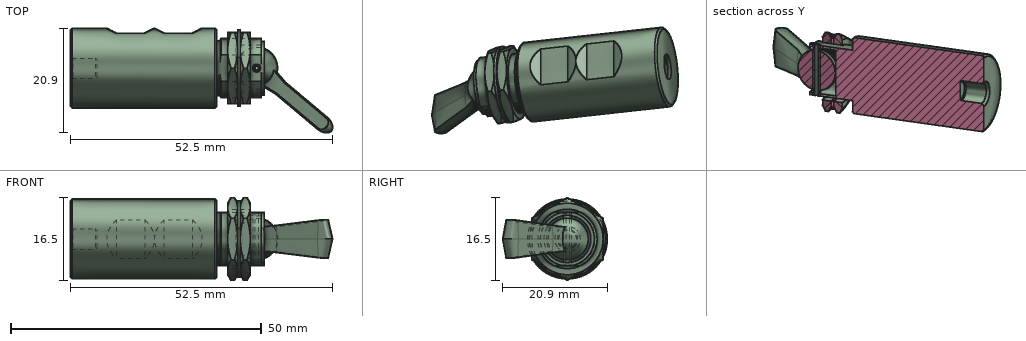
import cadquery as cq
import math


barrel_dia = 16.0
barrel_length = 29.3
barrel_chamfer = 0.4
groove_centers = (12.0, 21.55)
groove_top_width = 9.55
groove_floor_width = 5.65
groove_depth = 1.0

port_dia = 4.05
port_mouth_dia = 5.1
port_depth = 5.25
port_floor_dia = 3.55

thread_dia = 11.9
thread_start = 30.15
thread_chamfer = 0.2
relief_dia = 10.95
rim_dia = 10.8
rim_start = 38.2
neck_end = 38.8
flats_width = 10.65
socket_dia = 9.45

nut_start = 31.45
nut_corner_dia = 16.5
nut_flats_width = nut_corner_dia * math.cos(math.radians(30))
nut_thickness = 2.0
nut_chamfer_angle = 30.0
washer_dia = 15.35
washer_thickness = 0.5
washer_start = nut_start + nut_thickness
nut_starts = (nut_start, washer_start + washer_thickness)

total_length = 52.45
lever_angle = 40.0
ball_dia = 8.4
handle_root = 2.1
handle_waist = 6.3
tip_start = 17.1
root_half_width = 2.2
waist_half_width = 1.5
edge_inset = 0.2
tip_length = 2.4
edge_tip_length = 1.15
waist_half_height = 2.75
half_height_slope = 0.095

lever_cos = math.cos(math.radians(lever_angle))
lever_sin = math.sin(math.radians(lever_angle))
tip_reach = math.hypot(tip_length * lever_cos, waist_half_width * lever_sin)
pivot_x = total_length - tip_start * lever_cos - tip_reach

pin_dia = 1.55
pin_bore_dia = 0.7
pin_chamfer = 0.15


def cylinder_x(start, length, dia):
    """Cylinder on the common axis, from start towards +X."""
    return cq.Workplane("YZ", origin=(start, 0, 0)).circle(dia / 2).extrude(length)


def cylinder_pivot(length, dia):
    """Cylinder on the pivot axis, centered at mid-height."""
    return cq.Workplane("XY", origin=(pivot_x, 0, 0)).circle(dia / 2).extrude(length / 2, both=True)


def revolve_x(points):
    """Solid turned about the X axis from an (x, radius) outline."""
    return cq.Workplane("XY").polyline(points).close().revolve(360, (0, 0, 0), (1, 0, 0))


def make_barrel():
    barrel = cylinder_x(0, barrel_length, barrel_dia).edges().chamfer(barrel_chamfer)
    for center in groove_centers:
        barrel = barrel.cut(make_groove(center))
    return barrel.cut(make_port())


def make_groove(center):
    """Trapezoidal groove running along Z across the +Y side of the barrel."""
    surface = barrel_dia / 2
    floor = surface - groove_depth
    outline = [
        (center - groove_top_width / 2, surface),
        (center - groove_floor_width / 2, floor),
        (center + groove_floor_width / 2, floor),
        (center + groove_top_width / 2, surface),
    ]
    return cq.Workplane("XY").polyline(outline).close().extrude(barrel_dia / 2, both=True)


def make_port():
    """Blind port with a countersunk mouth and a beveled floor."""
    mouth_depth = (port_mouth_dia - port_dia) / 2
    floor_bevel = (port_dia - port_floor_dia) / 2
    return revolve_x([
        (0, 0),
        (0, port_mouth_dia / 2),
        (mouth_depth, port_dia / 2),
        (port_depth - floor_bevel, port_dia / 2),
        (port_depth, port_floor_dia / 2),
        (port_depth, 0),
    ])


def make_neck():
    """Relief groove, threaded length and end rim, with two flats facing +Z and -Z."""
    neck = revolve_x([
        (barrel_length, 0),
        (barrel_length, relief_dia / 2),
        (thread_start - thread_chamfer, relief_dia / 2),
        (thread_start, thread_dia / 2),
        (rim_start, thread_dia / 2),
        (rim_start, rim_dia / 2),
        (neck_end, rim_dia / 2),
        (neck_end, 0),
    ])
    flats = cq.Workplane("XY").box(2 * total_length, thread_dia, flats_width)
    return neck.intersect(flats)


def make_valve_body():
    socket_start = pivot_x - ball_dia / 2
    socket = cylinder_x(socket_start, neck_end - socket_start, socket_dia)
    pin_hole = cylinder_pivot(flats_width, pin_dia)
    return make_barrel().union(make_neck()).cut(socket).cut(pin_hole)


def make_nut(start):
    """Hex nut with corners at +Z and -Z, both faces chamfered down to the inscribed circle."""
    corner_radius = nut_corner_dia / 2
    face_radius = nut_flats_width / 2
    end = start + nut_thickness
    chamfer_depth = (corner_radius - face_radius) * math.tan(math.radians(nut_chamfer_angle))
    hexagon = (
        cq.Workplane("YZ", origin=(start, 0, 0))
        .transformed(rotate=(0, 0, 90))
        .polygon(6, nut_corner_dia)
        .extrude(nut_thickness)
    )
    envelope = revolve_x([
        (start, 0),
        (start, face_radius),
        (start + chamfer_depth, corner_radius),
        (end - chamfer_depth, corner_radius),
        (end, face_radius),
        (end, 0),
    ])
    return hexagon.intersect(envelope).cut(make_thread_core())


def make_thread_core():
    """Cylinder of the thread diameter, cut from whatever is mounted on the neck."""
    return cylinder_x(barrel_length, neck_end - barrel_length, thread_dia)


def make_washer():
    return cylinder_x(washer_start, washer_thickness, washer_dia).cut(make_thread_core())


def handle_outline(inset, end_length, waist_height, slope):
    """Closed handle outline with an elliptical tip, in a plane that rises with slope along the handle."""
    root = root_half_width - inset
    waist = waist_half_width - inset

    def point(along, across):
        return cq.Vector(along, across, waist_height + slope * (along - handle_waist))

    sides = [
        point(tip_start, waist),
        point(handle_waist, waist),
        point(handle_root, root),
        point(handle_root, -root),
        point(handle_waist, -waist),
        point(tip_start, -waist),
    ]
    edges = [cq.Edge.makeLine(start, end) for start, end in zip(sides, sides[1:])]
    tip = cq.Edge.makeEllipse(
        end_length * math.hypot(1, slope),
        waist,
        pnt=point(tip_start, 0),
        dir=cq.Vector(-slope, 0, 1),
        xdir=cq.Vector(1, 0, slope),
        angle1=-90,
        angle2=90,
    )
    return cq.Wire.assembleEdges([*edges, tip])


def make_handle():
    """Handle along +X with a ridge at mid-height and sloping top and bottom faces."""
    ridge = handle_outline(0, tip_length, 0, 0)
    top = handle_outline(edge_inset, edge_tip_length, waist_half_height, half_height_slope)
    upper_half = cq.Workplane(obj=cq.Solid.makeLoft([ridge, top], True))
    return upper_half.union(upper_half.mirror("XY"))


def make_lever():
    lever = cq.Workplane("XY").sphere(ball_dia / 2).union(make_handle())
    lever = lever.rotate((0, 0, 0), (0, 0, 1), -lever_angle).translate((pivot_x, 0, 0))
    return lever.cut(cylinder_pivot(flats_width, pin_dia))


def make_pin():
    pin = cylinder_pivot(flats_width, pin_dia).edges().chamfer(pin_chamfer)
    return pin.cut(cylinder_pivot(flats_width, pin_bore_dia))


valve_body = make_valve_body()
nuts = [make_nut(start) for start in nut_starts]
washer = make_washer()
lever = make_lever()
pin = make_pin()

result = cq.Compound.makeCompound([
    valve_body.val(),
    *[nut.val() for nut in nuts],
    washer.val(),
    lever.val(),
    pin.val(),
])